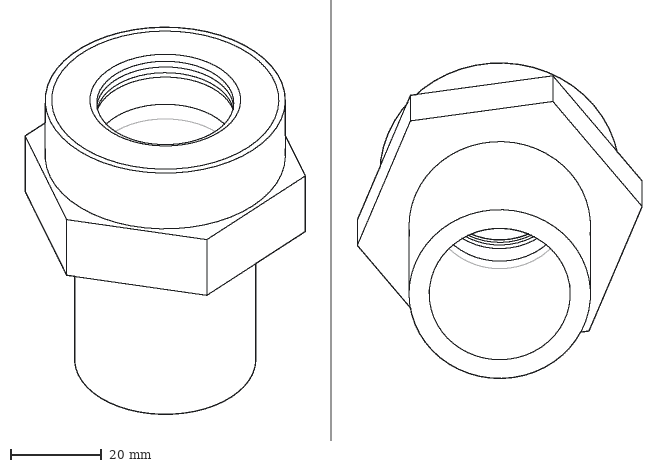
import cadquery as cq
import math

total_height = 72.0
collar_height = 15.5
hex_height = 15.5
hex_top = total_height - collar_height
hex_bottom = hex_top - hex_height

hex_across_flats = 55.0
hex_across_corners = hex_across_flats / math.cos(math.radians(30))
collar_diameter = 53.0
collar_wall = 1.45
tube_diameter = 40.0

insert_diameter = collar_diameter - 2 * collar_wall
insert_height = 12.95
insert_bottom = total_height - insert_height

thread_pitch = 1.6
crest_count = 3
crest_radius = 15.1
half_pitch = thread_pitch / 2
root_radius = 16.6

insert_bore_radius = 15.4
tube_bore_radius = 15.55
bore_taper_height = 4.2


def make_housing():
    """Hexagon with a thin collar above it and a tube below it."""
    tube = cq.Workplane("XY").circle(tube_diameter / 2).extrude(hex_bottom)
    hexagon = (
        cq.Workplane("XY")
        .workplane(offset=hex_bottom)
        .transformed(rotate=(0, 0, 90))
        .polygon(6, hex_across_corners)
        .extrude(hex_height)
    )
    collar = cq.Workplane("XY").workplane(offset=hex_top).circle(collar_diameter / 2).extrude(collar_height)
    insert_seat = (
        cq.Workplane("XY").workplane(offset=insert_bottom).circle(insert_diameter / 2).extrude(insert_height)
    )
    taper_bottom = insert_bottom - bore_taper_height
    bore = (
        cq.Workplane("XZ")
        .moveTo(0, 0)
        .lineTo(tube_bore_radius, 0)
        .lineTo(tube_bore_radius, taper_bottom)
        .lineTo(insert_bore_radius, insert_bottom)
        .lineTo(0, insert_bottom)
        .close()
        .revolve(360, (0, 0, 0), (0, 1, 0))
    )
    return tube.union(hexagon).union(collar).cut(insert_seat).cut(bore)


def make_insert():
    """Ring with thread grooves at the top of its bore."""
    profile = cq.Workplane("XZ").moveTo(insert_diameter / 2, insert_bottom)
    profile = profile.lineTo(insert_diameter / 2, total_height).lineTo(root_radius, total_height)
    for index in range(crest_count):
        crest_z = total_height - half_pitch - index * thread_pitch
        profile = profile.lineTo(crest_radius, crest_z).lineTo(root_radius, crest_z - half_pitch)

    last_root_z = total_height - crest_count * thread_pitch
    flank_height = half_pitch * (root_radius - insert_bore_radius) / (root_radius - crest_radius)
    profile = profile.lineTo(insert_bore_radius, last_root_z - flank_height)
    profile = profile.lineTo(insert_bore_radius, insert_bottom).close()
    return profile.revolve(360, (0, 0, 0), (0, 1, 0))


housing = make_housing()
insert = make_insert()

result = cq.Compound.makeCompound([housing.val(), insert.val()])